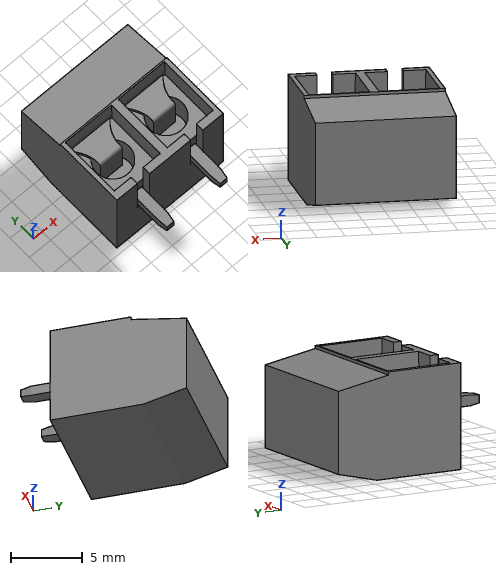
import cadquery as cq

POLE_PITCH = 5.0
BODY_WIDTH = 2 * POLE_PITCH
BODY_HEIGHT = 7.62
TOTAL_LENGTH = 12.7
PIN_LENGTH = 2.8
BODY_LENGTH = TOTAL_LENGTH - PIN_LENGTH

TOP_FLAT_LENGTH = 5.85
TOP_STEP = 0.22
REAR_TOP_DROP = 0.93
REAR_BOTTOM_RISE = 0.76
BOTTOM_SLOPE_LENGTH = 3.11

POCKET_WIDTH = 4.22
POCKET_LENGTH = 4.94
POCKET_DEPTH = 1.79
FRONT_WALL = 0.66
FLARE_DEPTH = 1.05
REAR_FLARE = 0.13
OUTER_FLARE = 0.04
INNER_FLARE = 0.06

WELL_RADIUS = 1.52
WELL_OFFSET = 3.18
WELL_DEPTH = 2.54

TONGUE_HEIGHT = 0.27
TONGUE_TIP_WIDTH = 2.07
TONGUE_ROOT_WIDTH = 3.86
TONGUE_TIP_OFFSET = 3.33
TONGUE_STRAIGHT_LENGTH = 0.53
TONGUE_SIDE_RADIUS = 3.05
TONGUE_LIP_RADIUS = 0.25

SLOT_WIDTH = 1.14
SLOT_DEPTH = 3.82
PIN_WIDTH = 0.88
PIN_THICKNESS = 0.79
PIN_DROP = 3.3
PIN_TAPER_LENGTH = 0.79
PIN_TIP_WIDTH = 0.66
PIN_TIP_THICKNESS = 0.57

FLOOR_Z = BODY_HEIGHT - POCKET_DEPTH
POCKET_REAR_Y = FRONT_WALL + POCKET_LENGTH


def make_body():
    """Side profile swept across the full width."""
    profile = [
        (0, 0),
        (0, BODY_HEIGHT),
        (TOP_FLAT_LENGTH, BODY_HEIGHT),
        (TOP_FLAT_LENGTH, BODY_HEIGHT - TOP_STEP),
        (BODY_LENGTH, BODY_HEIGHT - REAR_TOP_DROP),
        (BODY_LENGTH, REAR_BOTTOM_RISE),
        (BODY_LENGTH - BOTTOM_SLOPE_LENGTH, 0),
    ]
    return cq.Workplane("YZ").polyline(profile).close().extrude(BODY_WIDTH / 2, both=True)


def make_pocket():
    """Cutter for the left pole: straight at the bottom, flared on three sides at the top."""
    half = POCKET_WIDTH / 2
    lower_corners = [
        (-half, FRONT_WALL),
        (half, FRONT_WALL),
        (half, POCKET_REAR_Y),
        (-half, POCKET_REAR_Y),
    ]
    upper_corners = [
        (-half - OUTER_FLARE, FRONT_WALL),
        (half + INNER_FLARE, FRONT_WALL),
        (half + INNER_FLARE, POCKET_REAR_Y + REAR_FLARE),
        (-half - OUTER_FLARE, POCKET_REAR_Y + REAR_FLARE),
    ]
    straight = (
        cq.Workplane("XY", origin=(0, 0, FLOOR_Z))
        .polyline(lower_corners).close()
        .extrude(POCKET_DEPTH)
    )
    flare = (
        cq.Workplane("XY", origin=(0, 0, BODY_HEIGHT - FLARE_DEPTH))
        .polyline(lower_corners).close()
        .workplane(offset=FLARE_DEPTH)
        .polyline(upper_corners).close()
        .loft(ruled=True)
    )
    return straight.union(flare)


def make_well():
    """Blind round hole below the pocket floor."""
    return (
        cq.Workplane("XY", origin=(0, WELL_OFFSET, FLOOR_Z - WELL_DEPTH))
        .circle(WELL_RADIUS)
        .extrude(WELL_DEPTH)
    )


def make_slot():
    """Notch through the front wall, open at the top."""
    return (
        cq.Workplane("XY", origin=(0, FRONT_WALL / 2, BODY_HEIGHT - SLOT_DEPTH))
        .rect(SLOT_WIDTH, FRONT_WALL)
        .extrude(SLOT_DEPTH)
    )


def make_tongue():
    """Waisted tongue standing on the well floor, with a rounded front lip."""
    tip = TONGUE_TIP_WIDTH / 2
    root = TONGUE_ROOT_WIDTH / 2
    return (
        cq.Workplane("XY", origin=(0, 0, FLOOR_Z - WELL_DEPTH))
        .moveTo(-tip, TONGUE_TIP_OFFSET)
        .lineTo(tip, TONGUE_TIP_OFFSET)
        .lineTo(tip, TONGUE_TIP_OFFSET + TONGUE_STRAIGHT_LENGTH)
        .radiusArc((root, POCKET_REAR_Y), TONGUE_SIDE_RADIUS)
        .lineTo(-root, POCKET_REAR_Y)
        .radiusArc((-tip, TONGUE_TIP_OFFSET + TONGUE_STRAIGHT_LENGTH), TONGUE_SIDE_RADIUS)
        .close()
        .extrude(WELL_DEPTH + TONGUE_HEIGHT)
        .faces("<Y").edges(">Z")
        .fillet(TONGUE_LIP_RADIUS)
    )


def make_pin():
    """Solder pin rooted in the back of the slot, tapered to a blunt tip."""
    shank_end = PIN_TAPER_LENGTH - PIN_LENGTH
    pin_z = BODY_HEIGHT - PIN_DROP
    shank = (
        cq.Workplane("XZ", origin=(0, FRONT_WALL, pin_z))
        .rect(PIN_WIDTH, PIN_THICKNESS)
        .extrude(FRONT_WALL - shank_end)
    )
    tip = (
        cq.Workplane("XZ", origin=(0, shank_end, pin_z))
        .rect(PIN_WIDTH, PIN_THICKNESS)
        .workplane(offset=PIN_TAPER_LENGTH)
        .rect(PIN_TIP_WIDTH, PIN_TIP_THICKNESS)
        .loft()
    )
    return shank.union(tip)


pole_cut = make_pocket().union(make_well()).union(make_slot()).translate((-POLE_PITCH / 2, 0, 0))
pole_add = make_tongue().union(make_pin()).translate((-POLE_PITCH / 2, 0, 0))

result = make_body()
result = result.cut(pole_cut).cut(pole_cut.mirror("YZ"))
result = result.union(pole_add).union(pole_add.mirror("YZ"))